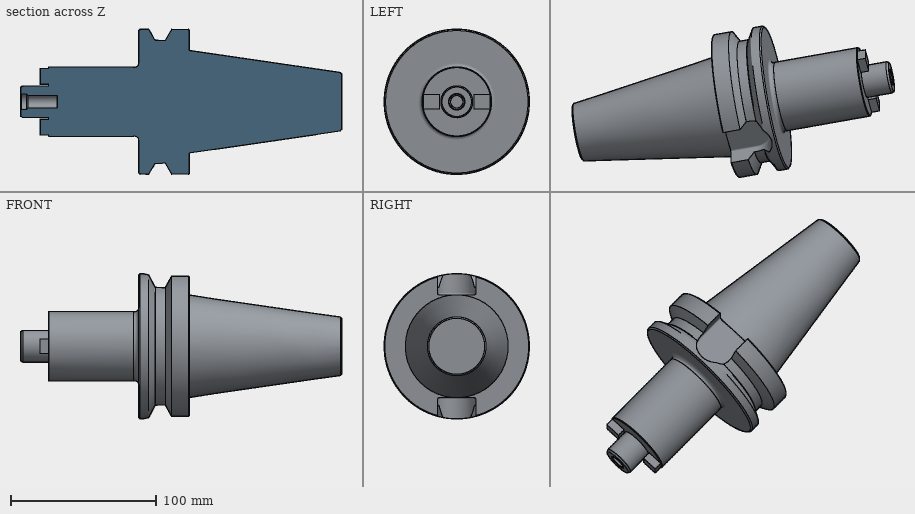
import cadquery as cq
import math


gauge_diameter = 69.85
taper_rate = 7 / 24
taper_length = 101.8
taper_end_chamfer = 1.0

flange_diameter = 100.0
flange_rear_x = -3.0
flange_front_x = -38.0
front_rim_chamfer = 1.0
rear_rim_chamfer = 0.5
groove_diameter = 85.0
groove_floor_front_x = -26.6
groove_floor_rear_x = -19.6
groove_wall_angle = 30.0
groove_front_fillet = 0.5

shaft_diameter = 48.0
shaft_front_x = -100.0
shaft_chamfer = 0.5
neck_diameter = 47.8
neck_length = 3.3
neck_fillet = 2.5

spigot_diameter = 22.0
spigot_length = 19.0
spigot_chamfer_length = 1.5
spigot_chamfer_angle = 30.0
hole_diameter = 8.5
hole_depth = 25.0
counterbore_diameter = 10.5
counterbore_depth = 4.0
hole_mouth_diameter = 11.3

key_width = 10.0
key_height = 5.6
key_inner_radius = 11.9
key_outer_radius = 23.0

slot_width = 26.3
slot_floor_z = 35.4
slot_end_x = -34.75
slot_floor_fillet = 1.1

flange_radius = flange_diameter / 2
groove_radius = groove_diameter / 2
shaft_radius = shaft_diameter / 2
neck_radius = neck_diameter / 2
spigot_radius = spigot_diameter / 2
nose_x = shaft_front_x - spigot_length
neck_front_x = flange_front_x - neck_length
spigot_chamfer_height = spigot_chamfer_length * math.tan(math.radians(spigot_chamfer_angle))
groove_wall_length = (flange_radius - groove_radius) * math.tan(math.radians(groove_wall_angle))


def taper_radius(x):
    return (gauge_diameter - taper_rate * x) / 2


def turned_body():
    """Half profile of all turned surfaces, revolved about X."""
    fillet_offset = neck_fillet * (1 - math.sqrt(0.5))
    taper_chamfer_x = taper_length - taper_end_chamfer
    profile = (
        cq.Workplane("XY")
        .moveTo(nose_x, 0)
        .lineTo(nose_x, spigot_radius - spigot_chamfer_height)
        .lineTo(nose_x + spigot_chamfer_length, spigot_radius)
        .lineTo(shaft_front_x, spigot_radius)
        .lineTo(shaft_front_x, shaft_radius - shaft_chamfer)
        .lineTo(shaft_front_x + shaft_chamfer, shaft_radius)
        .lineTo(neck_front_x, shaft_radius)
        .lineTo(neck_front_x, neck_radius)
        .lineTo(flange_front_x - neck_fillet, neck_radius)
        .threePointArc(
            (flange_front_x - fillet_offset, neck_radius + fillet_offset),
            (flange_front_x, neck_radius + neck_fillet),
        )
        .lineTo(flange_front_x, flange_radius - front_rim_chamfer)
        .lineTo(flange_front_x + front_rim_chamfer, flange_radius)
        .lineTo(groove_floor_front_x - groove_wall_length, flange_radius)
        .lineTo(groove_floor_front_x, groove_radius)
        .lineTo(groove_floor_rear_x, groove_radius)
        .lineTo(groove_floor_rear_x + groove_wall_length, flange_radius)
        .lineTo(flange_rear_x - rear_rim_chamfer, flange_radius)
        .lineTo(flange_rear_x, flange_radius - rear_rim_chamfer)
        .lineTo(flange_rear_x, taper_radius(flange_rear_x))
        .lineTo(taper_chamfer_x, taper_radius(taper_chamfer_x))
        .lineTo(taper_length, taper_radius(taper_chamfer_x) - taper_end_chamfer)
        .lineTo(taper_length, 0)
        .close()
    )
    return profile.revolve(360, (0, 0, 0), (1, 0, 0))


def round_groove_front(body):
    """Small fillets on the rim and the root of the groove's front wall."""
    margin = 0.2
    reach = flange_radius + margin
    front_wall_edges = cq.selectors.BoxSelector(
        (groove_floor_front_x - groove_wall_length - margin, -reach, -reach),
        (groove_floor_front_x + margin, reach, reach),
        boundingbox=True,
    )
    return body.edges(front_wall_edges).fillet(groove_front_fillet)


def screw_hole():
    """Blind hole in the nose with a short counterbore and a chamfered mouth."""
    hole_radius = hole_diameter / 2
    counterbore_radius = counterbore_diameter / 2
    mouth_radius = hole_mouth_diameter / 2
    cone_start_x = nose_x + counterbore_depth
    hole_end_x = nose_x + hole_depth
    profile = (
        cq.Workplane("XY")
        .moveTo(nose_x, 0)
        .lineTo(nose_x, mouth_radius)
        .lineTo(nose_x + mouth_radius - counterbore_radius, counterbore_radius)
        .lineTo(cone_start_x, counterbore_radius)
        .lineTo(cone_start_x + counterbore_radius - hole_radius, hole_radius)
        .lineTo(hole_end_x, hole_radius)
        .lineTo(hole_end_x, 0)
        .close()
    )
    return profile.revolve(360, (0, 0, 0), (1, 0, 0))


def drive_key(side):
    """Rectangular key on the shaft face, on the +Y or -Y side."""
    key_length = key_outer_radius - key_inner_radius
    center_y = side * (key_outer_radius + key_inner_radius) / 2
    return (
        cq.Workplane("YZ", origin=(shaft_front_x, 0, 0))
        .center(center_y, 0)
        .rect(key_length, key_width)
        .extrude(-key_height)
    )


def drive_slot(side):
    """Cutter for a round-ended slot, open at the flange rear, on the +Z or -Z side."""
    half_width = slot_width / 2
    arc_center_x = slot_end_x + half_width
    blank = (
        cq.Workplane("XY", origin=(0, 0, side * slot_floor_z))
        .moveTo(flange_rear_x, half_width)
        .lineTo(arc_center_x, half_width)
        .threePointArc((slot_end_x, 0), (arc_center_x, -half_width))
        .lineTo(flange_rear_x, -half_width)
        .close()
        .extrude(side * (flange_radius - slot_floor_z))
    )
    floor = blank.faces("<Z" if side > 0 else ">Z")
    return floor.edges("not >X").fillet(slot_floor_fillet)


result = round_groove_front(turned_body()).cut(screw_hole())
for side in (1, -1):
    result = result.union(drive_key(side)).cut(drive_slot(side))